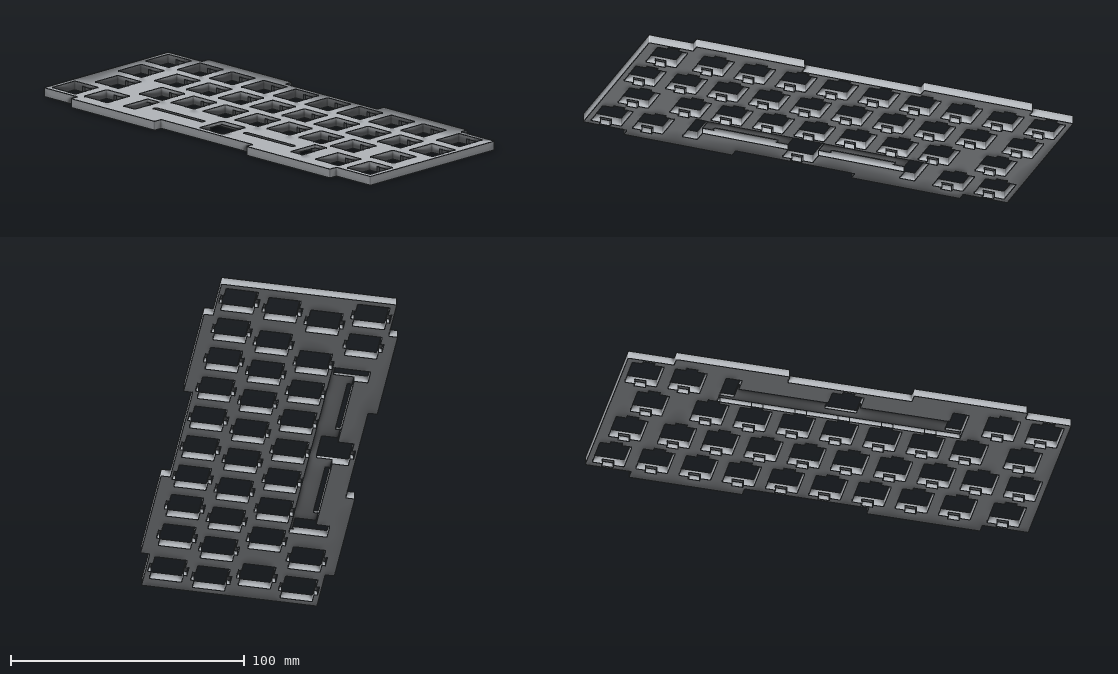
import cadquery as cq

KEY_UNIT = 19.05
ROW_COUNT = 4
PLATE_UNITS = 10.25
SWITCH_SIZE = 14.0
SPACEBAR_CENTRE = PLATE_UNITS / 2
ROW_KEYS = [
    [0.5 + i for i in range(9)] + [9.625],
    [0.625] + [1.75 + i for i in range(9)],
    [0.875] + [2.25 + i for i in range(7)] + [9.5],
    [0.5, 1.5, SPACEBAR_CENTRE, 8.75, 9.75],
]

THICKNESS = 4.0
PLATE_LENGTH = PLATE_UNITS * KEY_UNIT
PLATE_WIDTH = ROW_COUNT * KEY_UNIT
CORNER_RADIUS = 0.5

TAB_LENGTH = 50.0
TAB_DEPTH = 4.0
TAB_OFFSET = 2.75 * KEY_UNIT

CLIP_LIP = 1.5
RECESS_HEIGHT = THICKNESS - CLIP_LIP
CLIP_WIDTH = 5.0
CLIP_DEPTH = 1.5

STABILIZER_OFFSET = 50.0
STABILIZER_WIDTH = 7.0
STABILIZER_HEIGHT = 15.0
STABILIZER_SHIFT = 1.5
SLOT_OFFSET = 27.0
SLOT_LENGTH = 29.5
SLOT_WIDTH = 2.0
SLOT_SHIFT = 1.0

RELIEF_LENGTH = 2 * STABILIZER_OFFSET + STABILIZER_WIDTH
RELIEF_WIDTH = STABILIZER_SHIFT + STABILIZER_HEIGHT / 2 + CLIP_DEPTH


def key_x(units):
    """X of a key centre given in key units from the left edge."""
    return units * KEY_UNIT - PLATE_LENGTH / 2


def row_y(row):
    """Y of a row's centre line, row 0 being at the back."""
    return PLATE_WIDTH / 2 - (row + 0.5) * KEY_UNIT


def make_plate():
    """Plate with its four tabs and every vertical edge rounded."""
    plate = cq.Workplane("XY").rect(PLATE_LENGTH, PLATE_WIDTH).extrude(THICKNESS)
    tabs = (
        cq.Workplane("XY")
        .pushPoints([(-TAB_OFFSET, 0), (TAB_OFFSET, 0)])
        .rect(TAB_LENGTH, PLATE_WIDTH + 2 * TAB_DEPTH)
        .extrude(THICKNESS)
    )
    return plate.union(tabs).edges("|Z").fillet(CORNER_RADIUS)


def rounded_openings(centres, length, width):
    """Cutters through the plate, rectangular with rounded corners."""
    return (
        cq.Workplane("XY")
        .pushPoints(centres)
        .rect(length, width)
        .extrude(THICKNESS)
        .edges("|Z")
        .fillet(CORNER_RADIUS)
    )


def clip_recesses(centres):
    """Cutters that thin the plate to the clip lip at each switch opening."""
    return (
        cq.Workplane("XY")
        .pushPoints(centres)
        .rect(CLIP_WIDTH, SWITCH_SIZE + 2 * CLIP_DEPTH)
        .extrude(RECESS_HEIGHT)
    )


def stabilizer_relief(front_y):
    """Cutter under the plate, spanning both stabilizer openings behind front_y."""
    return (
        cq.Workplane("XY")
        .center(0, front_y + RELIEF_WIDTH / 2)
        .rect(RELIEF_LENGTH, RELIEF_WIDTH)
        .extrude(RECESS_HEIGHT)
    )


switch_centres = [(key_x(units), row_y(row)) for row, keys in enumerate(ROW_KEYS) for units in keys]
spacebar_y = row_y(ROW_COUNT - 1)
stabilizer_centres = [(side * STABILIZER_OFFSET, spacebar_y + STABILIZER_SHIFT) for side in (-1, 1)]
slot_centres = [(side * SLOT_OFFSET, spacebar_y + SLOT_SHIFT) for side in (-1, 1)]

result = (
    make_plate()
    .cut(rounded_openings(switch_centres, SWITCH_SIZE, SWITCH_SIZE))
    .cut(clip_recesses(switch_centres))
    .cut(rounded_openings(stabilizer_centres, STABILIZER_WIDTH, STABILIZER_HEIGHT))
    .cut(rounded_openings(slot_centres, SLOT_LENGTH, SLOT_WIDTH))
    .cut(stabilizer_relief(spacebar_y))
)